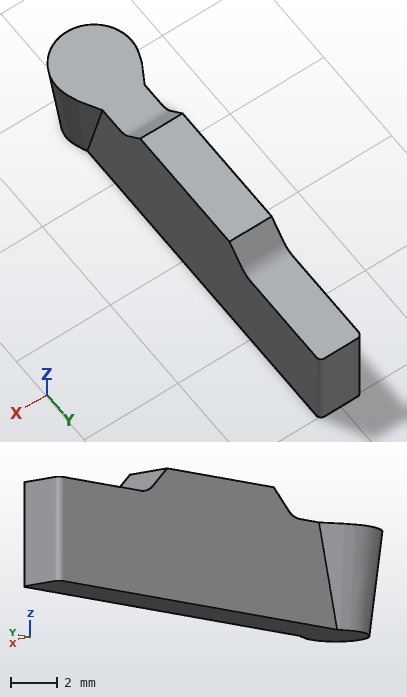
import cadquery as cq
import math

length = 20.24
height = 5.76

nose_radius = 2.015
nose_height = 4.57
draft_angle = 7.0
relief_angle = 21.0
relief_length = 0.51
flank_angle = 30.0

shank_width = 2.25
shank_end = length - nose_radius
end_fillet = 0.25

pad_front = 4.98
pad_back = 11.56
ramp_angle = 45.0
ramp_fillet = 1.0


def make_nose():
    """Arc, relief flats and flanks closing on the centreline, tapered toward the base."""
    relief = math.radians(relief_angle)
    tangent_x = nose_radius * math.cos(relief)
    tangent_y = nose_radius * math.sin(relief)
    flank_x = tangent_x - relief_length * math.sin(relief)
    flank_y = tangent_y + relief_length * math.cos(relief)
    apex_y = flank_y + flank_x / math.tan(math.radians(flank_angle))
    return (
        cq.Workplane("XY", origin=(0, 0, nose_height))
        .moveTo(-tangent_x, tangent_y)
        .threePointArc((0, -nose_radius), (tangent_x, tangent_y))
        .lineTo(flank_x, flank_y)
        .lineTo(0, apex_y)
        .lineTo(-flank_x, flank_y)
        .close()
        .extrude(-nose_height, taper=draft_angle)
    )


def make_shank():
    """Straight bar with a raised pad; the front end is buried inside the nose."""
    rise = height - nose_height
    ramp_run = rise / math.tan(math.radians(ramp_angle))
    ramp_front = pad_front - ramp_run
    ramp_back = pad_back + ramp_run
    side_outline = [
        (0, 0),
        (shank_end, 0),
        (shank_end, nose_height),
        (ramp_back, nose_height),
        (pad_back, height),
        (pad_front, height),
        (ramp_front, nose_height),
        (0, nose_height),
    ]
    bar = cq.Workplane("YZ").polyline(side_outline).close().extrude(shank_width / 2, both=True)
    for ramp_foot in (ramp_front, ramp_back):
        foot_edge = cq.selectors.NearestToPointSelector((0, ramp_foot, nose_height))
        bar = bar.edges("|X").edges(foot_edge).fillet(ramp_fillet)
    return bar.faces(">Y").edges("|Z").fillet(end_fillet)


result = make_shank().union(make_nose())